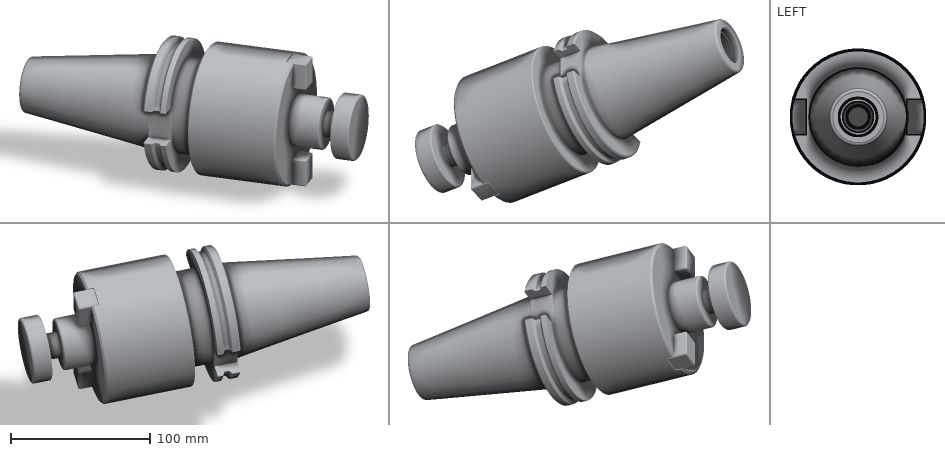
import cadquery as cq
import math

TOTAL_LENGTH = 250.5

GAUGE_X = 100.7
GAUGE_DIAMETER = 70.0
TAPER_RATIO = 7 / 24
TAPER_END_FILLET = 2.3
CORNER_RADIUS = 0.8

FLANGE_START_X = 103.0
FLANGE_END_X = 120.0
FLANGE_DIAMETER = 97.2
FLANGE_CHAMFER = 1.0
GROOVE_CENTRE_X = 112.5
GROOVE_MOUTH = 7.0
GROOVE_DEPTH = 3.0
GROOVE_WALL_ANGLE = 30.0
NOTCH_WIDTH = 25.3
NOTCH_FLOOR_FRONT = 35.0
NOTCH_FLOOR_BACK = 37.3

BODY_START_X = 137.0
BODY_END_X = 203.5
BODY_DIAMETER = 97.0
BODY_START_CHAMFER = 0.8
BODY_END_CHAMFER = 1.5

SPIGOT_END_X = 226.3
SPIGOT_DIAMETER = 38.0
SPIGOT_END_FILLET = 1.5
UNDERCUT_DIAMETER = 37.5
UNDERCUT_WIDTH = 1.5

BORE_DIAMETER = 22.0
BORE_DEPTH = 149.0
BORE_POINT_ANGLE = 59.0
COUNTERBORE_DIAMETER = 26.3
COUNTERBORE_DEPTH = 5.0
COUNTERBORE_RELIEF_DIAMETER = 26.8
COUNTERBORE_RELIEF_WIDTH = 1.5
COUNTERBORE_MOUTH_DIAMETER = 28.0

KEY_WIDTH = 16.0
KEY_LENGTH = 15.3
KEY_START_X = 198.0
KEY_INNER_Z = 27.5
KEY_OUTER_Z = 47.9
KEY_CHAMFER = 0.8

HEAD_DIAMETER = 48.0
HEAD_LENGTH = 14.0
HEAD_FILLET = 1.5
HEAD_CHAMFER = 0.8
SHANK_DIAMETER = 19.0
SHANK_START_X = BODY_END_X
SHANK_END_X = 232.5
SHANK_CONE_LENGTH = 1.5
RELIEF_DIAMETER = 17.5
RELIEF_FILLET = 0.8
THREAD_DIAMETER = 17.3
THREAD_START_X = 151.5
THREAD_CHAMFER = 1.13


def revolve_profile(points):
    """Turn an outline of (x, radius) points about the X axis."""
    return cq.Workplane("XY").polyline(points).close().revolve(360, (0, 0, 0), (1, 0, 0))


def cylinder(start_x, end_x, diameter):
    return cq.Workplane("YZ", origin=(start_x, 0, 0)).circle(diameter / 2).extrude(end_x - start_x)


def corner_fillet(face_x, diameter, radius, direction):
    """Ring that rounds the inside corner between a shaft and a face.

    The ring lies on the +X (direction = 1) or -X (direction = -1) side of the face.
    """
    shaft = diameter / 2
    far_x = face_x + direction * radius
    mid_x = far_x - direction * radius * math.cos(math.pi / 4)
    mid_r = shaft + radius * (1 - math.sin(math.pi / 4))
    return (
        cq.Workplane("XY")
        .moveTo(face_x, 0)
        .lineTo(face_x, shaft + radius)
        .threePointArc((mid_x, mid_r), (far_x, shaft))
        .lineTo(far_x, 0)
        .close()
        .revolve(360, (0, 0, 0), (1, 0, 0))
    )


def block(x_range, y_range, z_range):
    """Axis-aligned block given by its (low, high) limits."""
    ranges = (x_range, y_range, z_range)
    sizes = [high - low for low, high in ranges]
    corner = tuple(low for low, high in ranges)
    return cq.Workplane("XY").box(*sizes, centered=False).translate(corner)


def taper_and_neck():
    """Steep taper, continued by a straight neck as far as the main body."""
    small_diameter = GAUGE_DIAMETER - GAUGE_X * TAPER_RATIO
    taper = revolve_profile([
        (0, 0),
        (0, small_diameter / 2),
        (GAUGE_X, GAUGE_DIAMETER / 2),
        (GAUGE_X, 0),
    ])
    taper = taper.faces("<X").edges().fillet(TAPER_END_FILLET)
    taper_shank = taper.union(cylinder(GAUGE_X, BODY_START_X, GAUGE_DIAMETER))
    for face_x, direction in ((FLANGE_START_X, -1), (FLANGE_END_X, 1), (BODY_START_X, -1)):
        taper_shank = taper_shank.union(corner_fillet(face_x, GAUGE_DIAMETER, CORNER_RADIUS, direction))
    return taper_shank


def flange():
    """Gripper flange with a V-groove round it and two drive notches."""
    disc = cylinder(FLANGE_START_X, FLANGE_END_X, FLANGE_DIAMETER)
    disc = disc.faces("<X").edges().chamfer(FLANGE_CHAMFER)

    rim = FLANGE_DIAMETER / 2
    half_mouth = GROOVE_MOUTH / 2
    half_floor = half_mouth - GROOVE_DEPTH * math.tan(math.radians(GROOVE_WALL_ANGLE))
    floor = rim - GROOVE_DEPTH
    groove = revolve_profile([
        (GROOVE_CENTRE_X - half_mouth, rim),
        (GROOVE_CENTRE_X - half_floor, floor),
        (GROOVE_CENTRE_X + half_floor, floor),
        (GROOVE_CENTRE_X + half_mouth, rim),
    ])
    disc = disc.cut(groove)

    x_range = (FLANGE_START_X, FLANGE_END_X)
    z_range = (-NOTCH_WIDTH / 2, NOTCH_WIDTH / 2)
    disc = disc.cut(block(x_range, (-rim, -NOTCH_FLOOR_FRONT), z_range))
    return disc.cut(block(x_range, (NOTCH_FLOOR_BACK, rim), z_range))


def main_body():
    body = cylinder(BODY_START_X, BODY_END_X, BODY_DIAMETER)
    body = body.faces("<X").edges().chamfer(BODY_START_CHAMFER)
    return body.faces(">X").edges().chamfer(BODY_END_CHAMFER)


def spigot():
    """Cutter spigot with a shallow undercut at its root."""
    shoulder_x = BODY_END_X + UNDERCUT_WIDTH
    pilot = cylinder(shoulder_x, SPIGOT_END_X, SPIGOT_DIAMETER)
    pilot = pilot.faces(">X").edges().fillet(SPIGOT_END_FILLET)
    return pilot.union(cylinder(BODY_END_X, shoulder_x, UNDERCUT_DIAMETER))


def axial_hole():
    """Drawbar bore, then the hole that the clamping screw fills."""
    bore = BORE_DIAMETER / 2
    counterbore = COUNTERBORE_DIAMETER / 2
    relief = COUNTERBORE_RELIEF_DIAMETER / 2
    mouth = COUNTERBORE_MOUTH_DIAMETER / 2
    thread = THREAD_DIAMETER / 2
    shank = SHANK_DIAMETER / 2
    relief_x = COUNTERBORE_DEPTH - COUNTERBORE_RELIEF_WIDTH
    point_length = (bore - thread) / math.tan(math.radians(BORE_POINT_ANGLE))
    return revolve_profile([
        (0, 0),
        (0, mouth),
        (mouth - counterbore, counterbore),
        (relief_x, counterbore),
        (relief_x, relief),
        (COUNTERBORE_DEPTH, relief),
        (COUNTERBORE_DEPTH, bore),
        (BORE_DEPTH, bore),
        (BORE_DEPTH + point_length, thread),
        (SHANK_START_X, thread),
        (SHANK_START_X, shank),
        (SPIGOT_END_X, shank),
        (SPIGOT_END_X, 0),
    ])


def key_slot(side):
    """Space for one key, open at the body's end face and rim."""
    z_range = sorted((side * KEY_INNER_Z, side * BODY_DIAMETER / 2))
    return block((KEY_START_X, BODY_END_X), (-KEY_WIDTH / 2, KEY_WIDTH / 2), z_range)


def make_holder():
    holder = taper_and_neck().union(flange()).union(main_body()).union(spigot())
    holder = holder.cut(axial_hole())
    for side in (1, -1):
        holder = holder.cut(key_slot(side))
    return holder


def make_key(side):
    """Driving key on the +Z (side = 1) or -Z (side = -1) part of the end face."""
    z_range = sorted((side * KEY_INNER_Z, side * KEY_OUTER_Z))
    x_range = (KEY_START_X, KEY_START_X + KEY_LENGTH)
    key = block(x_range, (-KEY_WIDTH / 2, KEY_WIDTH / 2), z_range)
    return key.edges().chamfer(KEY_CHAMFER)


def make_clamping_screw():
    head_x = TOTAL_LENGTH - HEAD_LENGTH
    head = cylinder(head_x, TOTAL_LENGTH, HEAD_DIAMETER)
    head = head.faces(">X").edges().fillet(HEAD_FILLET)
    head = head.faces("<X").edges().chamfer(HEAD_CHAMFER)

    relief_x = SHANK_END_X + SHANK_CONE_LENGTH
    relief = cylinder(relief_x, head_x, RELIEF_DIAMETER)
    relief_edge = corner_fillet(head_x, RELIEF_DIAMETER, RELIEF_FILLET, -1)
    shank = cylinder(SHANK_START_X, SHANK_END_X, SHANK_DIAMETER)
    cone = revolve_profile([
        (SHANK_END_X, 0),
        (SHANK_END_X, SHANK_DIAMETER / 2),
        (relief_x, RELIEF_DIAMETER / 2),
        (relief_x, 0),
    ])
    thread = cylinder(THREAD_START_X, SHANK_START_X, THREAD_DIAMETER)
    thread = thread.faces("<X").edges().chamfer(THREAD_CHAMFER)
    return thread.union(shank).union(cone).union(relief).union(head).union(relief_edge)


holder = make_holder()
keys = [make_key(side) for side in (1, -1)]
clamping_screw = make_clamping_screw()

result = cq.Compound.makeCompound([
    holder.val(),
    *[key.val() for key in keys],
    clamping_screw.val(),
])